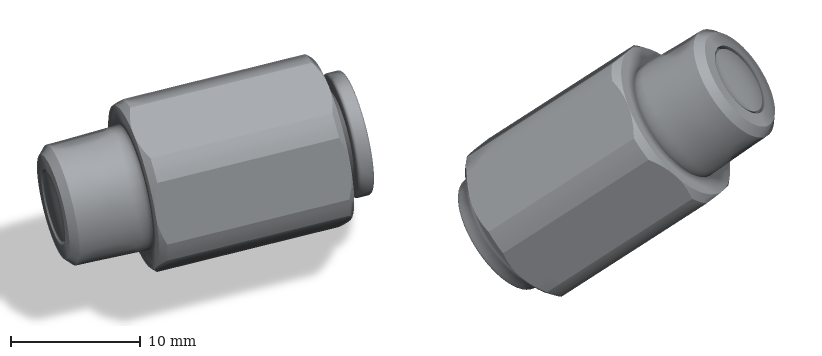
import cadquery as cq

total_length = 24.4

across_flats = 13.0
corner_diameter = 14.0
hex_start = 6.5
hex_end = 22.25
hex_chamfer_length = 0.54

taper = 1 / 16
gauge_position = 3.0
gauge_diameter = 9.75
tip_diameter = 8.35
tip_chamfer_length = 0.6

bore_diameter = 6.0
bore_depth = 0.5
plug_diameter = 5.55
plug_setback = 0.1

neck_diameter = 7.2
collar_diameter = 9.9
collar_thickness = 1.27
collar_edge_radius = 0.22


def cylinder(diameter, start, end):
    """Round bar along Y from start to end."""
    plane = cq.Plane(origin=(0, start, 0), xDir=(1, 0, 0), normal=(0, 1, 0))
    return cq.Workplane(plane).circle(diameter / 2).extrude(end - start)


def revolve_about_y(profile):
    """Turn a closed profile of (radius, Y) points around the Y axis."""
    return cq.Workplane("XY").polyline(profile).close().revolve(360, (0, 0, 0), (0, 1, 0))


def hex_body():
    """Hexagon, flats up and down, trimmed by a round bar chamfered at both ends."""
    corner_extension = (corner_diameter - across_flats) / 2
    plane = cq.Plane(origin=(0, hex_start, 0), xDir=(0, 0, 1), normal=(0, 1, 0))
    hexagon = cq.Workplane(plane).polygon(6, across_flats, circumscribed=True).extrude(hex_end - hex_start)
    round_bar = cylinder(corner_diameter, hex_start, hex_end)
    round_bar = round_bar.faces("<Y").chamfer(hex_chamfer_length, corner_extension)
    round_bar = round_bar.faces(">Y").chamfer(hex_chamfer_length, corner_extension)
    return hexagon.intersect(round_bar)


def thread_radius(y):
    """Radius of the tapered thread at a distance y from the tip."""
    return (gauge_diameter + taper * (y - gauge_position)) / 2


def threaded_end():
    """Tapered end with a chamfered tip and a narrow ring gap around the plug."""
    return revolve_about_y([
        (0, plug_setback),
        (plug_diameter / 2, plug_setback),
        (plug_diameter / 2, bore_depth),
        (bore_diameter / 2, bore_depth),
        (bore_diameter / 2, 0),
        (tip_diameter / 2, 0),
        (thread_radius(tip_chamfer_length), tip_chamfer_length),
        (thread_radius(hex_start), hex_start),
        (0, hex_start),
    ])


def release_collar():
    """Round-edged collar on a narrower neck."""
    collar_start = total_length - collar_thickness
    collar = cylinder(collar_diameter, collar_start, total_length)
    collar = collar.edges("%CIRCLE").fillet(collar_edge_radius)
    return cylinder(neck_diameter, hex_end, collar_start).union(collar)


result = hex_body().union(threaded_end()).union(release_collar())